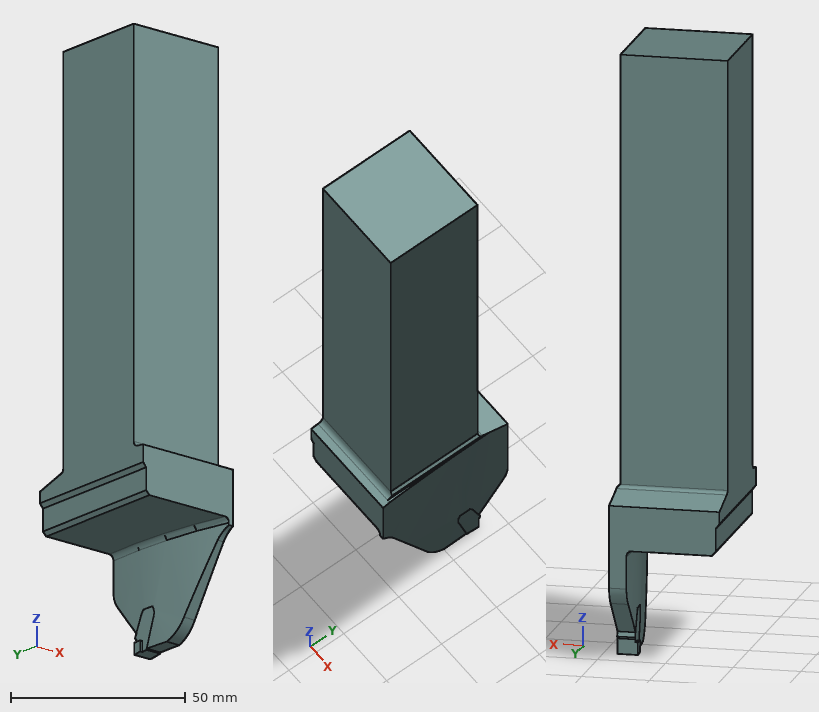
import cadquery as cq
import math

TOTAL_HEIGHT = 177.8
HEAD_DEPTH = 46.2
HEAD_MAX_X = 33.6

SHANK_SIZE = 31.6
SHANK_FRONT = 4.3
SHANK_BACK = SHANK_FRONT + SHANK_SIZE

HEAD_TOP = 50.5
FRONT_LEDGE = 48.4
FRONT_LEDGE_INNER = 48.7
BACK_LEDGE = 46.5
BACK_LEDGE_INNER = 49.5
HEAD_BOTTOM = 33.5
SHOULDER_BEVEL = 0.9
BACK_FILLET = HEAD_TOP - BACK_LEDGE_INNER
FRONT_FILLET = HEAD_TOP - FRONT_LEDGE_INNER
RELIEF_TOP = 43.0
RELIEF_BOTTOM = 41.6
RELIEF_DEPTH = 1.0
BOTTOM_CHAMFER = 1.2
ROOT_FILLET = 1.6

CROWN_Y = 37.9
INNER_CROWN_X = 27.2
INNER_RADIUS = 149.4
OUTER_CROWN_X = 32.5
OUTER_RADIUS = 675.6
BLADE_BOTTOM = 0.9

INSERT_EDGE_Y = 35.7
TIP_INNER_X = 26.5
TIP_BACK_Y = 33.0
TIP_HEIGHT = 3.7
INSERT_HEEL = (31.3, 0.5)


def arc_x(crown_x, radius, y):
    """X of a bowed face at the given y."""
    return crown_x + radius - math.sqrt(radius**2 - (y - CROWN_Y) ** 2)


def outer_x(y):
    """X of the +X face, adjusted to reach its full width at y = 0."""
    offset = HEAD_MAX_X - arc_x(OUTER_CROWN_X, OUTER_RADIUS, 0)
    return offset + arc_x(OUTER_CROWN_X, OUTER_RADIUS, y)


def head_plan():
    """Head section in plan with its bowed +X side, through the full height."""
    return (
        cq.Workplane("XY")
        .lineTo(HEAD_MAX_X, 0)
        .threePointArc((outer_x(HEAD_DEPTH / 2), HEAD_DEPTH / 2), (outer_x(HEAD_DEPTH), HEAD_DEPTH))
        .lineTo(0, HEAD_DEPTH)
        .close()
        .extrude(TOTAL_HEIGHT)
    )


def blade_plan():
    """Blade section in plan between the two bowed faces."""
    middle = HEAD_DEPTH / 2
    return (
        cq.Workplane("XY")
        .moveTo(arc_x(INNER_CROWN_X, INNER_RADIUS, 0), 0)
        .lineTo(HEAD_MAX_X, 0)
        .threePointArc((outer_x(middle), middle), (outer_x(HEAD_DEPTH), HEAD_DEPTH))
        .lineTo(arc_x(INNER_CROWN_X, INNER_RADIUS, HEAD_DEPTH), HEAD_DEPTH)
        .threePointArc(
            (arc_x(INNER_CROWN_X, INNER_RADIUS, middle), middle),
            (arc_x(INNER_CROWN_X, INNER_RADIUS, 0), 0),
        )
        .close()
        .extrude(TOTAL_HEIGHT)
    )


def head_front_profile():
    """Head outline in XZ: relief step, lower chamfer and bevel below the shank."""
    bevel_x = SHANK_SIZE + SHOULDER_BEVEL
    return (
        cq.Workplane("XZ")
        .polyline([
            (0, HEAD_TOP),
            (SHANK_SIZE, HEAD_TOP),
            (bevel_x, HEAD_TOP - SHOULDER_BEVEL),
            (bevel_x, FRONT_LEDGE_INNER),
            (HEAD_MAX_X, FRONT_LEDGE_INNER),
            (HEAD_MAX_X, HEAD_BOTTOM),
            (RELIEF_DEPTH + BOTTOM_CHAMFER, HEAD_BOTTOM),
            (RELIEF_DEPTH, HEAD_BOTTOM + BOTTOM_CHAMFER),
            (RELIEF_DEPTH, RELIEF_BOTTOM),
            (0, RELIEF_TOP),
        ])
        .close()
        .extrude(-HEAD_DEPTH)
    )


def head_side_profile():
    """Head outline in YZ: sloping ledges filleted into the shank."""
    quarter_arc_offset = 1 - math.sqrt(0.5)
    front_bend = FRONT_FILLET * quarter_arc_offset
    back_bend = BACK_FILLET * quarter_arc_offset
    return (
        cq.Workplane("YZ")
        .moveTo(0, HEAD_BOTTOM)
        .lineTo(0, FRONT_LEDGE)
        .lineTo(SHANK_FRONT - FRONT_FILLET, FRONT_LEDGE_INNER)
        .threePointArc(
            (SHANK_FRONT - front_bend, FRONT_LEDGE_INNER + front_bend),
            (SHANK_FRONT, HEAD_TOP),
        )
        .lineTo(SHANK_BACK, HEAD_TOP)
        .threePointArc(
            (SHANK_BACK + back_bend, BACK_LEDGE_INNER + back_bend),
            (SHANK_BACK + BACK_FILLET, BACK_LEDGE_INNER),
        )
        .lineTo(HEAD_DEPTH, BACK_LEDGE)
        .lineTo(HEAD_DEPTH, HEAD_BOTTOM)
        .close()
        .extrude(HEAD_MAX_X)
    )


def blade_side_profile():
    """Blade outline in YZ, reaching up into the head."""
    return (
        cq.Workplane("YZ")
        .moveTo(0, RELIEF_TOP)
        .lineTo(0, 31.1)
        .threePointArc((2.1, 29.5), (4.0, 27.4))
        .lineTo(16.2, 6.8)
        .threePointArc((19.2, 3.0), (23.0, BLADE_BOTTOM))
        .lineTo(INSERT_HEEL[0], BLADE_BOTTOM)
        .lineTo(INSERT_EDGE_Y, 6.8)
        .lineTo(44.5, 17.2)
        .threePointArc((45.7, 19.4), (HEAD_DEPTH, 22.2))
        .lineTo(HEAD_DEPTH, RELIEF_TOP)
        .close()
        .extrude(HEAD_MAX_X)
    )


def insert_side_profile():
    """Insert outline in YZ, also the shape of its seat in the blade."""
    return (
        cq.Workplane("YZ")
        .moveTo(INSERT_EDGE_Y, 0)
        .lineTo(*INSERT_HEEL)
        .lineTo(28.3, 10.0)
        .threePointArc((28.1, 11.5), (28.8, 13.2))
        .lineTo(32.5, 13.2)
        .lineTo(33.5, 12.0)
        .lineTo(36.3, 5.3)
        .lineTo(INSERT_EDGE_Y, 4.6)
        .close()
        .extrude(HEAD_MAX_X)
    )


def make_insert():
    """Insert flush with the blade faces, with a wider cutting tip."""
    body = insert_side_profile().intersect(blade_plan())
    tip_zone = cq.Workplane("XY").box(
        OUTER_CROWN_X - TIP_INNER_X, INSERT_EDGE_Y - TIP_BACK_Y, TIP_HEIGHT, centered=False
    ).translate((TIP_INNER_X, TIP_BACK_Y, 0))
    return body.union(tip_zone.intersect(insert_side_profile()))


def make_holder():
    """Shank, head and blade in one piece, with the insert seat cut out."""
    shank = (
        cq.Workplane("XY")
        .box(SHANK_SIZE, SHANK_SIZE, TOTAL_HEIGHT - RELIEF_TOP, centered=False)
        .translate((0, SHANK_FRONT, RELIEF_TOP))
    )
    head = head_side_profile().intersect(head_front_profile()).intersect(head_plan())
    blade = blade_side_profile().intersect(blade_plan())
    body = head.union(blade).union(shank)

    root_margin = 0.2
    root_box = cq.selectors.BoxSelector(
        (INNER_CROWN_X - 1.8, 0, HEAD_BOTTOM - root_margin),
        (OUTER_CROWN_X - 1.8, HEAD_DEPTH, HEAD_BOTTOM + root_margin),
    )
    body = body.edges(root_box).fillet(ROOT_FILLET)
    return body.cut(insert_side_profile())


holder = make_holder()
insert = make_insert()
result = cq.Compound.makeCompound([holder.val(), insert.val()])